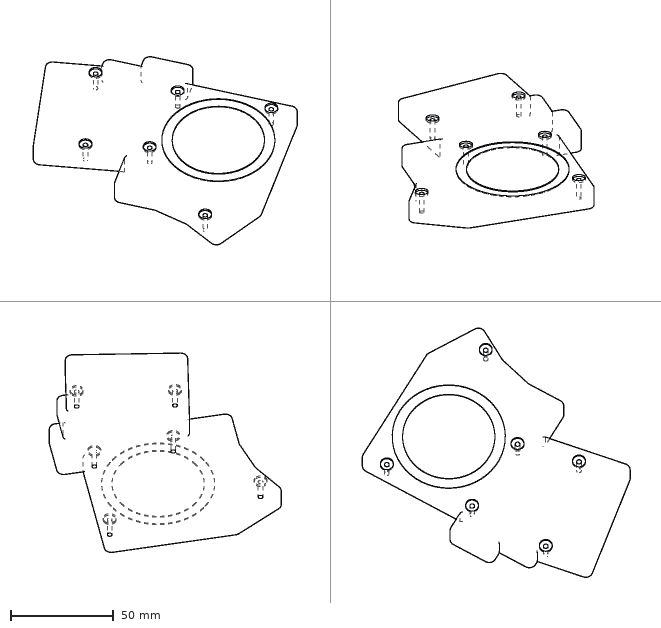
import cadquery as cq
import math

overall_width = 126.4
thickness = 11.4
corner_radius = 3.5
rim_radius = 1.0

right_x = 31.5
back_y = 32.4
tab_right_x = -25.2
tab_left_x = -50.3
tab_back_y = 44.7
step_back_y = 37.3
step_left_x = -68.6
notch_x = -40.7
front_y = -44.2

wing_angle = math.radians(10)
wing_back_y = 32.0
wing_front_y = -23.8
wing_left_x = right_x - overall_width

bend_x = -19.2
second_bend_x = -1.9
first_bend_angle = math.radians(15)
second_bend_angle = math.radians(30)
right_side_end_y = -33.2

groove_outer_radius = 27.5
groove_inner_radius = 22.5
groove_depth = 0.5

screw_points = [
    (-70.2, 26.5),
    (-28.3, 26.0),
    (18.7, 27.8),
    (-30.8, -13.7),
    (-61.4, -20.6),
    (7.8, -49.3),
]
hole_diameter = 2.3
counterbore_diameter = 6.3
counterbore_depth = 1.0


def square_corner(point, other_point, angle):
    """Meet a line through point, sloping at angle, with the line square to it through other_point."""
    dx = other_point[0] - point[0]
    dy = other_point[1] - point[1]
    reach = dx * math.cos(angle) + dy * math.sin(angle)
    return (point[0] + reach * math.cos(angle), point[1] + reach * math.sin(angle))


def make_plate():
    step_root = (step_left_x, wing_back_y)
    notch_root = (notch_x, wing_front_y)
    rounding_inset = corner_radius * (math.cos(wing_angle) + math.sin(wing_angle) - 1)
    wing_corner_x = wing_left_x - rounding_inset
    wing_back_corner = (
        wing_corner_x,
        wing_back_y - (step_left_x - wing_corner_x) * math.tan(wing_angle),
    )
    wing_front_corner = square_corner(notch_root, wing_back_corner, wing_angle)

    second_bend = (
        second_bend_x,
        front_y - (second_bend_x - bend_x) * math.tan(first_bend_angle),
    )
    right_end = (right_x, right_side_end_y)
    toe_corner = square_corner(second_bend, right_end, -second_bend_angle)

    rounded_corners = [
        wing_back_corner,
        (step_left_x, step_back_y),
        (tab_left_x, tab_back_y),
        (tab_right_x, tab_back_y),
        (right_x, back_y),
        right_end,
        toe_corner,
        (notch_x, front_y),
        wing_front_corner,
    ]
    outline = [
        wing_back_corner,
        step_root,
        (step_left_x, step_back_y),
        (tab_left_x, step_back_y),
        (tab_left_x, tab_back_y),
        (tab_right_x, tab_back_y),
        (tab_right_x, back_y),
        (right_x, back_y),
        right_end,
        toe_corner,
        second_bend,
        (bend_x, front_y),
        (notch_x, front_y),
        notch_root,
        wing_front_corner,
    ]
    plate = cq.Workplane("XY").polyline(outline).close().extrude(thickness)
    for x, y in rounded_corners:
        corner_edge = cq.selectors.NearestToPointSelector((x, y, thickness / 2))
        plate = plate.edges("|Z").edges(corner_edge).fillet(corner_radius)
    return plate.faces("<Z or >Z").edges().fillet(rim_radius)


def make_ring_groove():
    return (
        cq.Workplane("XY", origin=(0, 0, thickness - groove_depth))
        .circle(groove_outer_radius)
        .circle(groove_inner_radius)
        .extrude(groove_depth)
    )


def make_screw_holes():
    holes = cq.Workplane("XY").pushPoints(screw_points).circle(hole_diameter / 2).extrude(thickness)
    counterbores = (
        cq.Workplane("XY", origin=(0, 0, thickness - counterbore_depth))
        .pushPoints(screw_points)
        .circle(counterbore_diameter / 2)
        .extrude(counterbore_depth)
    )
    return holes.union(counterbores)


result = make_plate().cut(make_ring_groove()).cut(make_screw_holes())